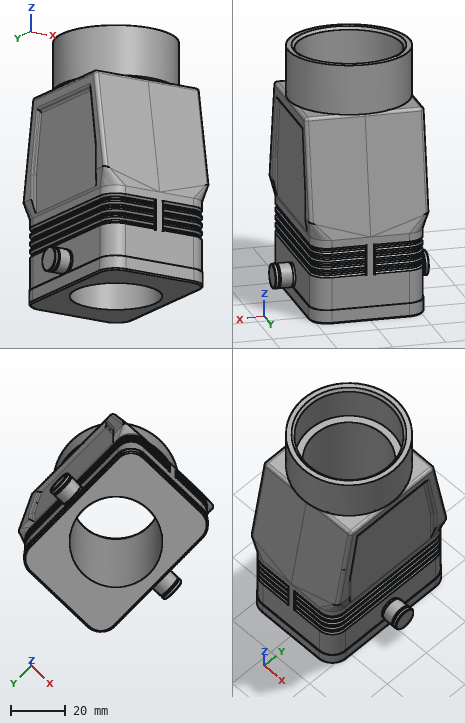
import cadquery as cq
import math

BASE_X = 21.7
BASE_Y = 29.98
BASE_RADIUS = 7.0
BOTTOM_CHAMFER = 0.6
RIM_TOP = 5.4
BODY_INSET = 0.3
BODY_TOP = 17.5

RIB_COUNT = 4
RIB_PITCH = 3.0
BAND_INSET = 0.3
BAND_BOTTOM = BODY_TOP + 11.55
BAND_TOP = 32.2
GROOVE_INSET = 1.1
POST_HALF_WIDTH = 1.3
POST_GAP = 0.5

UPPER_X = 22.6
UPPER_TOP = 77.3
SHOULDER = 39.1
END_SLOPE = 0.178
CROWN = 0.2
UPPER_ROUND = 1.3

RECESS_DEPTH = 1.1
RECESS_TOP = 70.6
RECESS_BREAK = 48.1
RECESS_TOP_Y = 16.6
RECESS_BOTTOM_Y = 20.3
RECESS_ROUND = 1.3

PIN_TIP = 29.02
PIN_ROOT = 19.25
PIN_Z = 9.7
PIN_RADIUS = 4.6
PIN_CHAMFER = 0.3
PIN_NECK_END = 22.2
PIN_NECK_STEP = 0.2
PIN_GROOVE_START = 1.3
PIN_GROOVE_WIDTH = 0.8
PIN_GROOVE_DEPTH = 0.2

HEIGHT = 96.25
COLLAR_DIAMETER = 46.0
BORE_DIAMETER = 33.8
COUNTERBORE_DIAMETER = 39.75
COUNTERBORE_DEPTH = 16.0
MOUTH_CHAMFER = 1.1


def end_y(z):
    """Half length of the upper body on its centre line at height z."""
    return BASE_Y - BAND_INSET - END_SLOPE * (z - BAND_TOP)


def rounded_wire(half_x, half_y, radius, z):
    """Closed rounded rectangle at height z."""
    flat = cq.Workplane("XY").workplane(offset=z).rect(2 * half_x, 2 * half_y).extrude(1)
    return flat.edges("|Z").fillet(radius).faces("<Z").wires().val()


def inset_wire(inset, z):
    """Base outline moved inward by the inset, at height z."""
    return rounded_wire(BASE_X - inset, BASE_Y - inset, BASE_RADIUS - inset, z)


def stack(sections):
    """Solid with straight flanks through (inset, height) sections of the base."""
    wires = [inset_wire(inset, z) for inset, z in sections]
    return cq.Workplane(cq.Solid.makeLoft(wires, True))


def make_base():
    rim = stack([(BOTTOM_CHAMFER, 0), (0, BOTTOM_CHAMFER), (0, RIM_TOP)])
    body = stack([(BODY_INSET, RIM_TOP), (BODY_INSET, BODY_TOP)])
    band = stack([(BAND_INSET, BAND_BOTTOM), (BAND_INSET, BAND_TOP)])
    return rim.union(body).union(band)


def make_ribs():
    """Grooved core: each groove has an overhanging upper flank and a lower flank in three slopes."""
    sections = [(BAND_INSET, BAND_BOTTOM)]
    for i in range(RIB_COUNT):
        top = BAND_BOTTOM - i * RIB_PITCH
        sections += [
            (GROOVE_INSET, top - 1.0),
            (GROOVE_INSET - 0.1, top - 1.6),
            (BAND_INSET, top - 2.3),
        ]
        if i < RIB_COUNT - 1:
            sections.append((BODY_INSET, top - RIB_PITCH))
    sections.append((BODY_INSET, BODY_TOP))
    return stack(sections[::-1])


def band_block(half_x, half_y):
    """Box of the height of the ribbed band."""
    height = BAND_BOTTOM - BODY_TOP
    block = cq.Workplane("XY").workplane(offset=BODY_TOP)
    return block.rect(2 * half_x, 2 * half_y).extrude(height)


def divide_ribs(ribs):
    """Interrupt the ribs on both ends with a smooth post."""
    gap_half_width = POST_HALF_WIDTH + POST_GAP
    outside = band_block(gap_half_width, BASE_Y).cut(band_block(BASE_X, BASE_Y - GROOVE_INSET))
    post = band_block(POST_HALF_WIDTH, BASE_Y - BAND_INSET)
    return ribs.cut(outside).union(post)


def make_shoulder():
    """Transition from the rounded band to the nearly square upper body."""
    lower = inset_wire(BAND_INSET, BAND_TOP)
    upper = rounded_wire(UPPER_X, end_y(SHOULDER) - CROWN, UPPER_ROUND, SHOULDER)
    return cq.Workplane(cq.Solid.makeLoft([lower, upper], True))


def crowned_wire(z):
    """Section of the upper body whose two ends peak on the centre line."""
    peak = end_y(z)
    corner = peak - CROWN
    points = [
        (UPPER_X, corner, z),
        (0, peak, z),
        (-UPPER_X, corner, z),
        (-UPPER_X, -corner, z),
        (0, -peak, z),
        (UPPER_X, -corner, z),
    ]
    return cq.Wire.makePolygon([cq.Vector(*point) for point in points], close=True)


def make_upper_body():
    block = cq.Workplane(cq.Solid.makeLoft([crowned_wire(BAND_TOP), crowned_wire(UPPER_TOP)], True))
    block = block.faces("<X or >X or >Z").edges("not <Z").fillet(UPPER_ROUND)
    outline = [
        (-UPPER_X, UPPER_TOP),
        (-UPPER_X, SHOULDER),
        (0, BAND_TOP),
        (UPPER_X, SHOULDER),
        (UPPER_X, UPPER_TOP),
    ]
    keep = cq.Workplane("XZ").polyline(outline).close().extrude(BASE_Y, both=True)
    return block.intersect(keep)


def recess_wire(x, spread):
    """Recess outline at x, grown outward by the spread; open at the lower end."""
    top = RECESS_TOP + spread
    half_top = RECESS_TOP_Y + spread
    half_bottom = RECESS_BOTTOM_Y + spread
    points = [
        (x, -half_bottom, BAND_TOP),
        (x, -half_bottom, RECESS_BREAK),
        (x, -half_top, top),
        (x, half_top, top),
        (x, half_bottom, RECESS_BREAK),
        (x, half_bottom, BAND_TOP),
    ]
    return cq.Wire.makePolygon([cq.Vector(*point) for point in points], close=True)


def make_recess():
    """Cutter for the recess in the +X side, with 45 degree walls."""
    reach = RECESS_ROUND * math.tan(math.radians(22.5))
    floor = recess_wire(UPPER_X - RECESS_DEPTH, reach)
    mouth = recess_wire(UPPER_X + RECESS_DEPTH, reach + 2 * RECESS_DEPTH)
    pocket = cq.Workplane(cq.Solid.makeLoft([floor, mouth], True))
    pocket = pocket.faces("<X").edges("not <Z").fillet(RECESS_ROUND)
    slab = cq.Workplane("XY").box(
        2 * RECESS_DEPTH, 2 * BASE_Y, HEIGHT - BAND_TOP, centered=(False, True, False)
    )
    slab = slab.translate((UPPER_X - 2 * RECESS_DEPTH, 0, BAND_TOP))
    recessed = slab.cut(pocket)
    rim = cq.selectors.BoxSelector((0, -BASE_Y + 1, BAND_TOP + 1), (HEIGHT, BASE_Y - 1, HEIGHT - 1))
    recessed = recessed.faces(">X").edges(rim).fillet(RECESS_ROUND)
    return slab.cut(recessed)


def make_pin():
    """Locking pin on the +X side, starting inside the wall."""
    groove_outer = PIN_TIP - PIN_GROOVE_START
    groove_inner = groove_outer - PIN_GROOVE_WIDTH
    groove_middle = (groove_outer + groove_inner) / 2
    profile = [
        (PIN_ROOT, 0),
        (PIN_ROOT, PIN_RADIUS - PIN_NECK_STEP),
        (PIN_NECK_END, PIN_RADIUS - PIN_NECK_STEP),
        (PIN_NECK_END, PIN_RADIUS),
        (groove_inner, PIN_RADIUS),
        (groove_middle, PIN_RADIUS - PIN_GROOVE_DEPTH),
        (groove_outer, PIN_RADIUS),
        (PIN_TIP - PIN_CHAMFER, PIN_RADIUS),
        (PIN_TIP, PIN_RADIUS - PIN_CHAMFER),
        (PIN_TIP, 0),
    ]
    pin = cq.Workplane("XY").polyline(profile).close().revolve(360, (0, 0, 0), (1, 0, 0))
    return pin.translate((0, 0, PIN_Z))


def cylinder(diameter, bottom, top):
    return cq.Workplane("XY").workplane(offset=bottom).circle(diameter / 2).extrude(top - bottom)


upper = make_upper_body().union(make_shoulder())
recess = make_recess()
upper = upper.cut(recess).cut(recess.mirror("YZ"))

result = make_base().union(divide_ribs(make_ribs())).union(upper)
pin = make_pin()
result = result.union(pin).union(pin.mirror("YZ"))
result = result.union(cylinder(COLLAR_DIAMETER, UPPER_TOP, HEIGHT))
result = result.cut(cylinder(BORE_DIAMETER, 0, HEIGHT))
result = result.cut(cylinder(COUNTERBORE_DIAMETER, HEIGHT - COUNTERBORE_DEPTH, HEIGHT))
result = result.faces(">Z").edges(cq.selectors.RadiusNthSelector(0)).chamfer(MOUTH_CHAMFER)